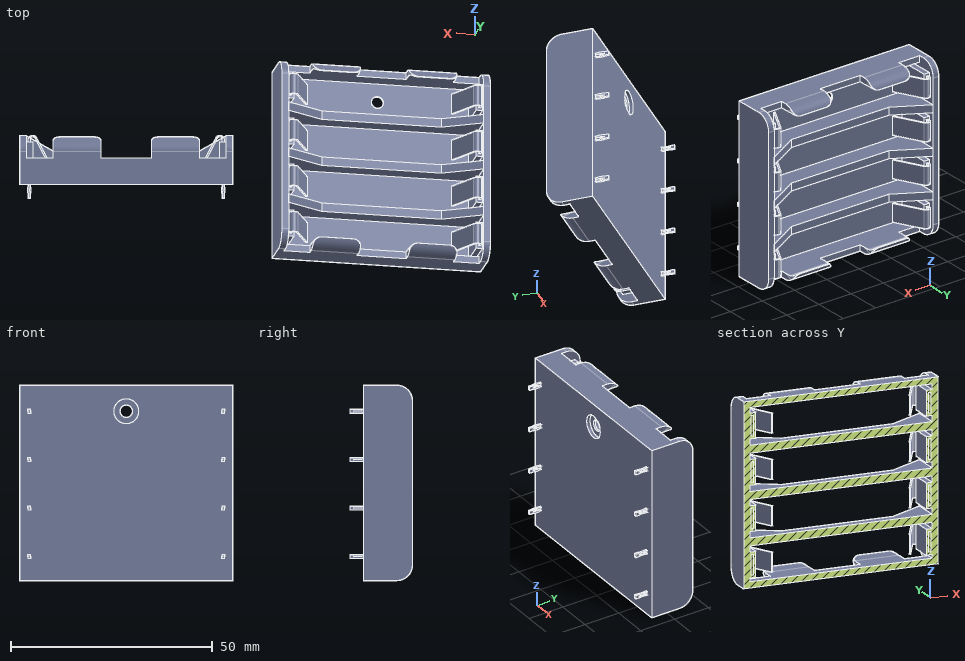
import cadquery as cq
import math

LENGTH = 52.83
WIDTH = 48.5
HEIGHT = 12.2
OVERALL_HEIGHT = 15.56
WALL = 1.75
FLOOR = 1.5
EDGE_RADIUS = 4.0
INNER_X = LENGTH / 2 - WALL
INNER_Z = WIDTH / 2 - WALL

CELL_COUNT = 4
CELL_PITCH = 12.0
CELL_OFFSET = -0.25
FIRST_CELL_Z = CELL_OFFSET - CELL_PITCH * (CELL_COUNT - 1) / 2
CELL_CENTRES = [FIRST_CELL_Z + i * CELL_PITCH for i in range(CELL_COUNT)]

LOW_HEIGHT = 6.65
DIVIDER_THICKNESS = 2.2
CLIP_INNER_X = 6.2
CLIP_LENGTH = 12.0
CLIP_ANGLE = 68.0
CLIP_CORNER_RADIUS = 2.0

GUSSET_TOP = 12.1
GUSSET_SLOPE = 0.57

HOLDER_DEPTH = 1.6
HOLDER_HEIGHT = 10.62
HOLDER_WIDTH = 6.8

LEG_X = LENGTH / 2 - 2.11
LEG_THICKNESS = 0.55
LEG_BOTTOM = FLOOR / 2
LEAF_THICKNESS = 0.4
CONTACT_WIDTH = 5.2
FOLD_WIDTH = 1.8
FOLD_RADIUS = 1.0
FOLD_INNER_RADIUS = 0.4
LEAF_ANGLE = 27.5
LEAF_END = 4.0

PIN_WIDTH = 1.0
PIN_LENGTH = OVERALL_HEIGHT - HEIGHT
BULGE_START = 0.3
BULGE_LENGTH = 2.1
BULGE_RISE = 0.17

HOLE_Z = CELL_CENTRES[-1]
HOLE_DIAMETER = 3.0
COUNTERBORE_DIAMETER = 6.15
COUNTERBORE_DEPTH = 1.0


def block(x_min, x_max, y_min, y_max, z_min, z_max):
    size = (x_max - x_min, y_max - y_min, z_max - z_min)
    return cq.Workplane("XY").box(*size, centered=False).translate((x_min, y_min, z_min))


def mirrored_x(body):
    return body.mirror("YZ")


def make_shell():
    """Open tray with uniform walls, rounded along its upper long edges."""
    outer = block(-LENGTH / 2, LENGTH / 2, 0, HEIGHT, -WIDTH / 2, WIDTH / 2)
    outer = outer.edges("|X and >Y").fillet(EDGE_RADIUS)
    cavity = block(-INNER_X, INNER_X, FLOOR, HEIGHT, -INNER_Z, INNER_Z)
    cavity = cavity.edges("|X and >Y").fillet(EDGE_RADIUS - WALL)
    return outer.cut(cavity)


def make_clip_envelope():
    """Region kept above the low wall for one clip; its radial end has rounded corners."""
    arc_y = HEIGHT - EDGE_RADIUS
    arc_z = WIDTH / 2 - EDGE_RADIUS
    angle = math.radians(CLIP_ANGLE)
    reach = 2 * EDGE_RADIUS
    radial = cq.Vector(0, math.sin(angle), math.cos(angle))
    tip_y = arc_y + reach * radial.y
    tip_z = arc_z + reach * radial.z
    return (
        cq.Workplane("YZ")
        .moveTo(LOW_HEIGHT, arc_z)
        .lineTo(arc_y, arc_z)
        .lineTo(tip_y, tip_z)
        .lineTo(tip_y, WIDTH / 2)
        .lineTo(LOW_HEIGHT, WIDTH / 2)
        .close()
        .extrude(CLIP_LENGTH)
        .translate((CLIP_INNER_X, 0, 0))
        .edges(cq.selectors.ParallelDirSelector(radial))
        .fillet(CLIP_CORNER_RADIUS)
    )


def lower_long_walls(shell):
    """Cut the long walls down to the low height everywhere but at the clips."""
    opening = block(-INNER_X, INNER_X, LOW_HEIGHT, HEIGHT, -WIDTH / 2, WIDTH / 2)
    clip = make_clip_envelope()
    for kept in (clip, clip.mirror("XY")):
        opening = opening.cut(kept).cut(mirrored_x(kept))
    return shell.cut(opening)


def make_divider(z_centre):
    """Low ridge between two cells with a gusset at each end."""
    run = (GUSSET_TOP - LOW_HEIGHT) / GUSSET_SLOPE
    return (
        cq.Workplane("XY")
        .moveTo(-INNER_X, 0)
        .lineTo(INNER_X, 0)
        .lineTo(INNER_X, GUSSET_TOP)
        .lineTo(INNER_X - run, LOW_HEIGHT)
        .lineTo(run - INNER_X, LOW_HEIGHT)
        .lineTo(-INNER_X, GUSSET_TOP)
        .close()
        .extrude(DIVIDER_THICKNESS / 2, both=True)
        .translate((0, 0, z_centre))
    )


def make_holder(z_centre):
    half = HOLDER_WIDTH / 2
    return block(INNER_X - HOLDER_DEPTH, INNER_X, 0, HOLDER_HEIGHT, z_centre - half, z_centre + half)


def make_pin_half(bulge, z_min):
    """Half of a pin, bowed along X by the given bulge."""
    inner_x = LEG_X - LEG_THICKNESS
    bulge_top = -BULGE_START
    bulge_bottom = bulge_top - BULGE_LENGTH
    bulge_middle = (bulge_top + bulge_bottom) / 2
    return (
        cq.Workplane("XY")
        .moveTo(LEG_X, LEG_BOTTOM)
        .lineTo(LEG_X, bulge_top)
        .threePointArc((LEG_X + bulge, bulge_middle), (LEG_X, bulge_bottom))
        .lineTo(LEG_X, -PIN_LENGTH)
        .lineTo(inner_x, -PIN_LENGTH)
        .lineTo(inner_x, bulge_bottom)
        .threePointArc((inner_x + bulge, bulge_middle), (inner_x, bulge_top))
        .lineTo(inner_x, LEG_BOTTOM)
        .close()
        .extrude(PIN_WIDTH / 2)
        .translate((0, 0, z_min))
    )


def make_fold_prism(leg_x, top_y, leaf_top_x, radius):
    """Prism between the leg and the leaf, as wide as the contact, with rounded upper edges."""
    leaf_run = (top_y - LEAF_END) * math.tan(math.radians(LEAF_ANGLE))
    return (
        cq.Workplane("XY")
        .moveTo(leg_x, LEAF_END)
        .lineTo(leg_x, top_y)
        .lineTo(leaf_top_x, top_y)
        .lineTo(leaf_top_x - leaf_run, LEAF_END)
        .close()
        .extrude(CONTACT_WIDTH / 2, both=True)
        .edges("|Z and >Y")
        .fillet(radius)
    )


def make_contact(z_centre):
    """Contact of the +X end: pin, leg, fold and sloping spring leaf."""
    angle = math.radians(LEAF_ANGLE)
    leaf_top_x = LEG_X - FOLD_WIDTH
    inner_leaf_top_x = leaf_top_x + LEAF_THICKNESS * (1 / math.cos(angle) - math.tan(angle))
    inner_leg_x = LEG_X - LEG_THICKNESS
    outside = make_fold_prism(LEG_X, HEIGHT, leaf_top_x, FOLD_RADIUS)
    inside = make_fold_prism(inner_leg_x, HEIGHT - LEAF_THICKNESS, inner_leaf_top_x, FOLD_INNER_RADIUS)
    half = CONTACT_WIDTH / 2
    lower_leg = block(inner_leg_x, LEG_X, LEG_BOTTOM, LEAF_END, -half, half)
    strip = outside.cut(inside).union(lower_leg).translate((0, 0, z_centre))
    upper_half = make_pin_half(BULGE_RISE, z_centre)
    lower_half = make_pin_half(-BULGE_RISE, z_centre - PIN_WIDTH / 2)
    return strip.union(upper_half).union(lower_half)


def make_mounting_hole():
    mouth = cq.Workplane("XZ").center(0, HOLE_Z)
    bore = mouth.circle(HOLE_DIAMETER / 2).extrude(-LOW_HEIGHT)
    counterbore = mouth.circle(COUNTERBORE_DIAMETER / 2).extrude(-COUNTERBORE_DEPTH)
    return bore.union(counterbore)


def make_housing(contacts):
    housing = lower_long_walls(make_shell())
    for z_centre in CELL_CENTRES[1:]:
        housing = housing.union(make_divider(z_centre - CELL_PITCH / 2))
    for z_centre in CELL_CENTRES:
        holder = make_holder(z_centre)
        housing = housing.union(holder).union(mirrored_x(holder))
    housing = housing.cut(make_mounting_hole())
    for contact in contacts:
        housing = housing.cut(contact)
    return housing


contacts = []
for cell_z in CELL_CENTRES:
    contact = make_contact(cell_z)
    contacts += [contact, mirrored_x(contact)]

housing = make_housing(contacts)
result = cq.Compound.makeCompound([housing.val(), *[contact.val() for contact in contacts]])